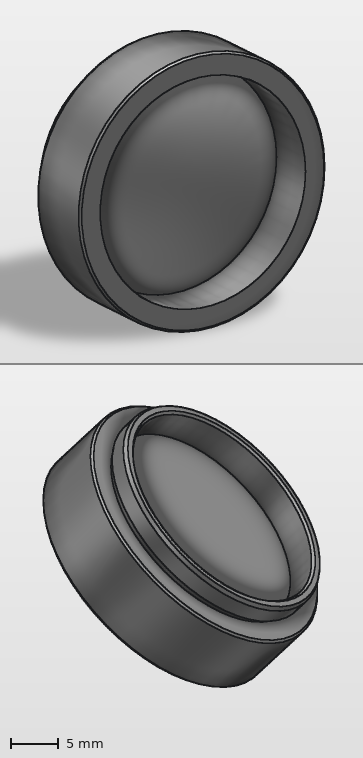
import cadquery as cq
import math


BODY_RADIUS = 15.25
HOUSING_LENGTH = 11.43
BODY_START = 3.08
BODY_CHAMFER = 0.25
NOSE_RADIUS = 13.15
NOSE_LENGTH = 2.32
NOSE_CHAMFER_LENGTH = 0.45
NOSE_CHAMFER_DEPTH = 0.25
RELIEF_RADIUS = 12.68

APERTURE_RADIUS = 11.98
APERTURE_CHAMFER = 0.27
LENS_SEAT = 3.8

LENS_RADIUS = 12.7
LENS_EDGE_THICKNESS = 1.98
LENS_SURFACE_RADIUS = 38.6


def revolve_about_x(profile):
    return profile.close().revolve(360, (0, 0, 0), (1, 0, 0))


def make_housing():
    outside = [
        (0, NOSE_RADIUS - NOSE_CHAMFER_DEPTH),
        (NOSE_CHAMFER_LENGTH, NOSE_RADIUS),
        (NOSE_LENGTH, NOSE_RADIUS),
        (NOSE_LENGTH, RELIEF_RADIUS),
        (BODY_START, RELIEF_RADIUS),
        (BODY_START, BODY_RADIUS - BODY_CHAMFER),
        (BODY_START + BODY_CHAMFER, BODY_RADIUS),
        (HOUSING_LENGTH - BODY_CHAMFER, BODY_RADIUS),
        (HOUSING_LENGTH, BODY_RADIUS - BODY_CHAMFER),
    ]
    inside = [
        (HOUSING_LENGTH, LENS_RADIUS),
        (LENS_SEAT, LENS_RADIUS),
        (LENS_SEAT, APERTURE_RADIUS),
        (APERTURE_CHAMFER, APERTURE_RADIUS),
        (0, APERTURE_RADIUS + APERTURE_CHAMFER),
    ]
    return revolve_about_x(cq.Workplane("XY").polyline(outside + inside))


def make_lens():
    edge_end = LENS_SEAT + LENS_EDGE_THICKNESS
    sphere_center = edge_end - math.sqrt(LENS_SURFACE_RADIUS**2 - LENS_RADIUS**2)
    apex = sphere_center + LENS_SURFACE_RADIUS
    mid_radius = LENS_RADIUS / 2
    mid_x = sphere_center + math.sqrt(LENS_SURFACE_RADIUS**2 - mid_radius**2)

    profile = (
        cq.Workplane("XY")
        .moveTo(LENS_SEAT, 0)
        .lineTo(LENS_SEAT, LENS_RADIUS)
        .lineTo(edge_end, LENS_RADIUS)
        .threePointArc((mid_x, mid_radius), (apex, 0))
    )
    return revolve_about_x(profile)


housing = make_housing()
lens = make_lens()

result = cq.Compound.makeCompound([housing.val(), lens.val()])